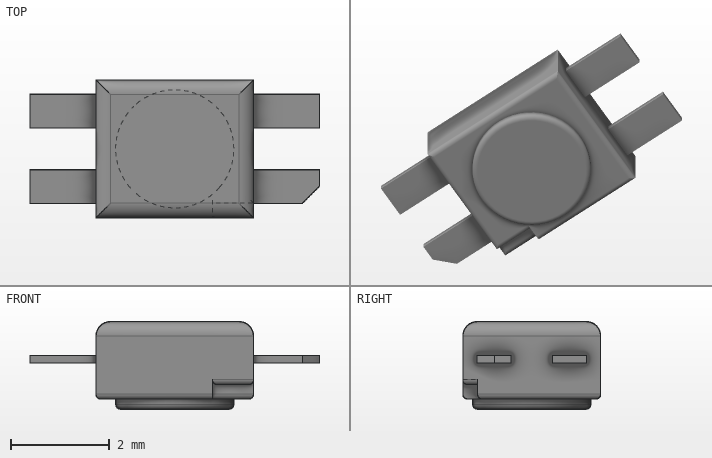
import cadquery as cq

total_length = 5.88
total_height = 1.78

body_length = 3.2
body_width = 2.8
top_radius = 0.3
bottom_radius = 0.1

button_diameter = 2.4
button_height = 0.205
button_radius = 0.1

lead_width = 0.69
lead_thickness = 0.16
lead_bottom = 0.935
lead_spacing = 1.53
lead_corner = 0.35

notch_length = 0.835
notch_depth = 0.3
notch_height = 0.295

right = body_length / 2
front = -body_width / 2
back = body_width / 2
notch_start = right - notch_length
notch_wall = front + notch_depth
notch_top = button_height + notch_height


def block(x_start, x_end, y_start, y_end, z_start, z_end):
    """Box given by its limits along each axis."""
    size = (x_end - x_start, y_end - y_start, z_end - z_start)
    return cq.Workplane("XY").box(*size, centered=False).translate((x_start, y_start, z_start))


def make_housing():
    """Three blocks that leave the notch free, with rounded lower and upper outer edges."""
    main = block(-right, notch_start, front, back, button_height, total_height)
    main = main.faces("<Z").edges("not >X").fillet(bottom_radius)

    behind_notch = block(-right, right, notch_wall, back, button_height, total_height)
    behind_notch = behind_notch.faces("<Z").edges().fillet(bottom_radius)

    over_notch = block(notch_start, right, front, notch_wall, notch_top, total_height)
    over_notch = over_notch.faces("<Z").edges("not >Y").fillet(bottom_radius)

    housing = main.union(behind_notch).union(over_notch).clean()
    return housing.faces(">Z").edges().fillet(top_radius)


def make_button():
    """Round button with a rounded lower rim, reaching slightly into the housing."""
    overlap = bottom_radius
    button = cq.Workplane("XY").circle(button_diameter / 2).extrude(button_height + overlap)
    return button.faces("<Z").edges().fillet(button_radius)


def make_lead_row(side):
    """Flat strip through the housing, forming one lead at each end."""
    strip = (
        cq.Workplane("XY")
        .box(total_length, lead_width, lead_thickness, centered=(True, True, False))
        .translate((0, side * lead_spacing / 2, lead_bottom))
    )
    if side < 0:
        strip = strip.edges("|Z and >X and <Y").chamfer(lead_corner)
    return strip


result = make_housing().union(make_button())
for row_side in (-1, 1):
    result = result.union(make_lead_row(row_side))